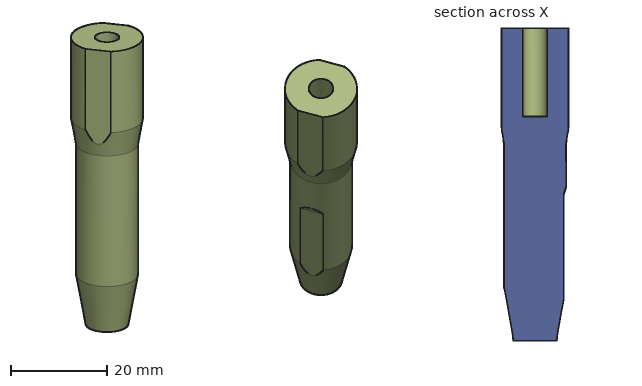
import cadquery as cq
import math

length = 65.0
head_diameter = 15.0
shank_diameter = 13.0
head_length = 18.3
tip_length = 11.3
taper_angle = 10.0

head_across_flats = 14.0

bore_diameter = 5.1
bore_depth = head_length

shank_flat_offset = 6.0
shank_flat_top = 30.35
shank_flat_runout = 1.6

head_radius = head_diameter / 2
shank_radius = shank_diameter / 2
taper_slope = math.tan(math.radians(taper_angle))
tip_radius = shank_radius - tip_length * taper_slope
head_bottom = length - head_length
shank_top = head_bottom - (head_radius - shank_radius) / taper_slope


def turned_body():
    """Revolve the stepped and tapered half profile about Z."""
    return (
        cq.Workplane("XZ")
        .lineTo(tip_radius, 0)
        .lineTo(shank_radius, tip_length)
        .lineTo(shank_radius, shank_top)
        .lineTo(head_radius, head_bottom)
        .lineTo(head_radius, length)
        .lineTo(0, length)
        .close()
        .revolve(360, (0, 0, 0), (0, 1, 0))
    )


def head_flats_envelope():
    """Slab that keeps only the material between the two head flats."""
    return cq.Workplane("XY").box(
        head_diameter, head_across_flats, length, centered=(True, True, False)
    )


def bore_cutter():
    """Flat-bottomed cylinder reaching down from the top face."""
    return (
        cq.Workplane("XY", origin=(0, 0, length - bore_depth))
        .circle(bore_diameter / 2)
        .extrude(bore_depth)
    )


def shank_flat_cutter():
    """Side cut through the tip taper, with a sloped runout at its upper end."""
    return (
        cq.Workplane("YZ")
        .moveTo(shank_flat_offset, 0)
        .lineTo(shank_flat_offset, shank_flat_top)
        .lineTo(shank_radius, shank_flat_top + shank_flat_runout)
        .lineTo(shank_radius, 0)
        .close()
        .extrude(shank_radius, both=True)
    )


result = (
    turned_body()
    .intersect(head_flats_envelope())
    .cut(bore_cutter())
    .cut(shank_flat_cutter())
)